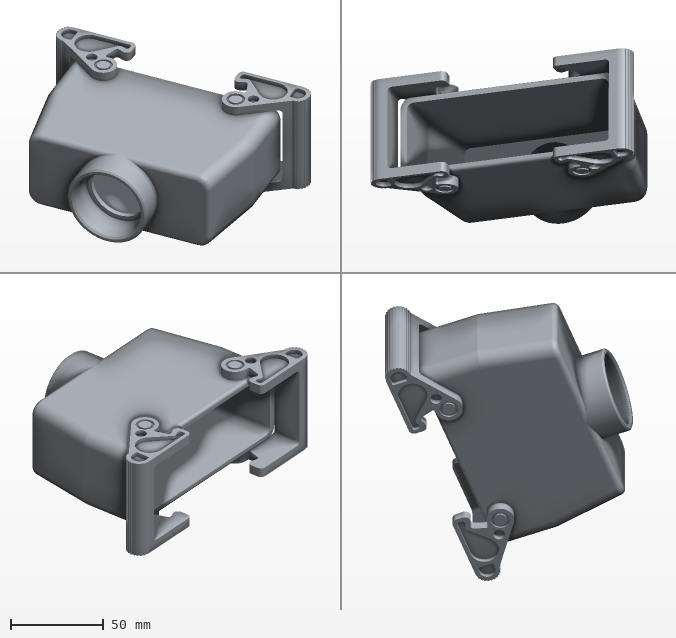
import cadquery as cq
import math

length = 149.1
depth = 108.0
height = 58.0
lever_top_y = 15.7

hood_half_height = 23.1
mouth_half_width = 61.1
end_half_width = 53.4
shoulder_y = -34.3
hood_end_y = -76.8
side_fillet = 7.5
end_fillet = 3.1
mouth_fillet = 1.8
wall = 3.7
end_wall = 4.5

entry_end_y = lever_top_y - depth
entry_radius = hood_half_height
entry_bevel = 0.9
bore_radius = 19.7
bore_depth = 17.3
bore_bevel = 1.0
opening_radius = 16.7

lever_half_height = height / 2
arm_inner_z = 23.5
web_inner_x = -63.0
window_fillet = 2.2
grip_radius = 6.9
grip_rib_height = 0.37
grip_rib_width = 0.9
grip_rib_pitch = 15
grip_rib_first_angle = 120
grip_rib_last_angle = 270
crest_radius = grip_radius + grip_rib_height
grip_x = crest_radius - length / 2
grip_y = lever_top_y - grip_radius
pivot_x = -39.0
pivot_y = -9.5
pivot_radius = 7.5
pivot_top_y = pivot_y + pivot_radius
hook_tip_x = -30.4
hook_fillet = 3.0
hook_tip = (hook_tip_x, 4.0)
notch_crest = (-38.6, 7.6)
notch_crest_fillet = 1.8
notch_root = (-41.7, pivot_top_y)
notch_root_fillet = 1.2

pocket_depth = 2.5
pocket_x = -54.3
pocket_y = 5.5
pocket_radius = 7.9
pocket_tip_x = -32.7
pocket_tip_y = 8.3
pocket_bend = (-38.0, 10.6)
pocket_bend_fillet = 2.2
pocket_tip_fillet = 1.3
grip_pocket_radius = 4.5
grip_pocket_flat_x = -64.3
grip_pocket_fillet = 1.2
hole_x = -47.7
hole_y = -5.5
hole_radius = 3.1
hole_depth = 3.3
ring_radius = 5.0
ring_depth = 1.2
pin_radius = 3.6
pin_inner_z = hood_half_height - wall / 2


def cylinder_z(x, y, radius, z_low, z_high):
    return cq.Workplane("XY", origin=(x, y, z_low)).circle(radius).extrude(z_high - z_low)


def cylinder_y(radius, y_low, y_high):
    return cq.Workplane("XZ", origin=(0, y_high, 0)).circle(radius).extrude(y_high - y_low)


def prism(points, z_low, z_high):
    return cq.Workplane("XY", origin=(0, 0, z_low)).polyline(points).close().extrude(z_high - z_low)


def fillet_upright(solid, corner, radius):
    """Round the edge parallel to Z that stands nearest to the XY point."""
    x, y = corner
    nearest = cq.selectors.NearestToPointSelector((x, y, solid.val().Center().z))
    return solid.edges("|Z").edges(nearest).fillet(radius)


def hood_prism(inset, end_inset, half_height):
    """Straight-sided to the shoulder, then tapering to the end wall."""
    half_outline = [
        (mouth_half_width - inset, 0),
        (mouth_half_width - inset, shoulder_y),
        (end_half_width - inset, hood_end_y + end_inset),
    ]
    mirrored = [(-x, y) for x, y in reversed(half_outline)]
    return prism(half_outline + mirrored, -half_height, half_height)


def make_hood():
    hood = hood_prism(0, 0, hood_half_height)
    hood = hood.faces("|Z").edges("not |X").fillet(side_fillet)
    hood = hood.faces("<Y").edges().fillet(end_fillet)
    envelope = (
        cq.Workplane("XY")
        .box(length, -hood_end_y, 2 * hood_half_height)
        .translate((0, hood_end_y / 2, 0))
        .faces(">Y").edges("|X").fillet(mouth_fillet)
    )
    hood = hood.intersect(envelope)
    entry = cylinder_y(entry_radius, entry_end_y, hood_end_y + end_wall)
    entry = entry.faces("<Y").edges().chamfer(entry_bevel)
    cavity = hood_prism(wall, end_wall, hood_half_height - wall)
    cavity = cavity.faces("|Z").edges("not |X").fillet(side_fillet - wall)
    bore = cylinder_y(bore_radius, entry_end_y, entry_end_y + bore_depth)
    entry_end = cq.Vector(0, entry_end_y, 0)
    inward = cq.Vector(0, 1, 0)
    bore_mouth = cq.Solid.makeCone(bore_radius + bore_bevel, bore_radius, bore_bevel, entry_end, inward)
    opening = cylinder_y(opening_radius, entry_end_y, hood_end_y + 2 * end_wall)
    return hood.union(entry).cut(cavity).cut(bore).cut(cq.Workplane(bore_mouth)).cut(opening)


def lever_blank():
    """Full-height lever outline, before the window is opened between its arms."""
    z_range = (-lever_half_height, lever_half_height)
    heel = (grip_x, grip_y - crest_radius)
    reach = math.hypot(pivot_x - heel[0], pivot_y - heel[1])
    slope = math.atan2(pivot_y - heel[1], pivot_x - heel[0]) - math.asin(pivot_radius / reach)
    pivot_tangent = (pivot_x + pivot_radius * math.sin(slope), pivot_y - pivot_radius * math.cos(slope))
    hook_corner = (hook_tip_x, lever_top_y)
    blank = prism(
        [
            (grip_x, lever_top_y),
            hook_corner,
            hook_tip,
            notch_crest,
            notch_root,
            (pivot_x, pivot_top_y),
            (pivot_x, pivot_y),
            pivot_tangent,
            heel,
        ],
        *z_range,
    )
    blank = fillet_upright(blank, hook_corner, hook_fillet)
    blank = fillet_upright(blank, hook_tip, hook_fillet)
    blank = fillet_upright(blank, notch_crest, notch_crest_fillet)
    blank = fillet_upright(blank, notch_root, notch_root_fillet)
    blank = blank.union(cylinder_z(pivot_x, pivot_y, pivot_radius, *z_range))
    blank = blank.union(cylinder_z(grip_x, grip_y, grip_radius, *z_range))
    rib = cq.Workplane("XY").box(crest_radius, grip_rib_width, height).translate((crest_radius / 2, 0, 0))
    for angle in range(grip_rib_first_angle, grip_rib_last_angle + 1, grip_rib_pitch):
        blank = blank.union(rib.rotate((0, 0, 0), (0, 0, 1), angle).translate((grip_x, grip_y, 0)))
    return blank


def arm_recesses():
    """Everything sunk into the upper arm's outer face."""
    top = lever_half_height
    floor = top - pocket_depth

    pocket_top_y = pocket_y + pocket_radius
    flank = pocket_radius * math.sqrt(0.5)
    slot_corner = (pocket_tip_x, pocket_top_y)
    slot_end = (pocket_tip_x, pocket_tip_y)
    slot = prism(
        [
            (pocket_x, pocket_top_y),
            slot_corner,
            slot_end,
            pocket_bend,
            (pocket_x + flank, pocket_y - flank),
            (pocket_x, pocket_y),
        ],
        floor,
        top,
    )
    slot = fillet_upright(slot, slot_corner, pocket_tip_fillet)
    slot = fillet_upright(slot, slot_end, pocket_tip_fillet)
    slot = fillet_upright(slot, pocket_bend, pocket_bend_fillet)
    recesses = slot.union(cylinder_z(pocket_x, pocket_y, pocket_radius, floor, top))

    flat_corners = [
        (grip_pocket_flat_x, grip_y - grip_pocket_radius),
        (grip_pocket_flat_x, grip_y + grip_pocket_radius),
    ]
    grip_pocket = (
        cq.Workplane("XY", origin=(0, 0, floor))
        .moveTo(*flat_corners[0])
        .lineTo(*flat_corners[1])
        .lineTo(grip_x, grip_y + grip_pocket_radius)
        .threePointArc((grip_x - grip_pocket_radius, grip_y), (grip_x, grip_y - grip_pocket_radius))
        .close()
        .extrude(pocket_depth)
    )
    for corner in flat_corners:
        grip_pocket = fillet_upright(grip_pocket, corner, grip_pocket_fillet)

    hole = cylinder_z(hole_x, hole_y, hole_radius, top - hole_depth, top)
    ring = cylinder_z(pivot_x, pivot_y, ring_radius, top - ring_depth, top)
    return recesses.union(grip_pocket).union(hole).union(ring)


def make_lever():
    """Lever of the -X side with the two pivot pins that join it to the hood."""
    window = cq.Workplane("XY").box(-web_inner_x, depth, 2 * arm_inner_z)
    window = window.faces("<X").edges("|Y").fillet(window_fillet)
    lever = lever_blank().cut(window.translate((web_inner_x / 2, 0, 0)))
    upper_recesses = arm_recesses()
    upper_pin = cylinder_z(pivot_x, pivot_y, pin_radius, pin_inner_z, lever_half_height)
    lever = lever.cut(upper_recesses).cut(upper_recesses.mirror("XY"))
    return lever.union(upper_pin).union(upper_pin.mirror("XY"))


lever = make_lever()
result = make_hood().union(lever).union(lever.mirror("YZ"))